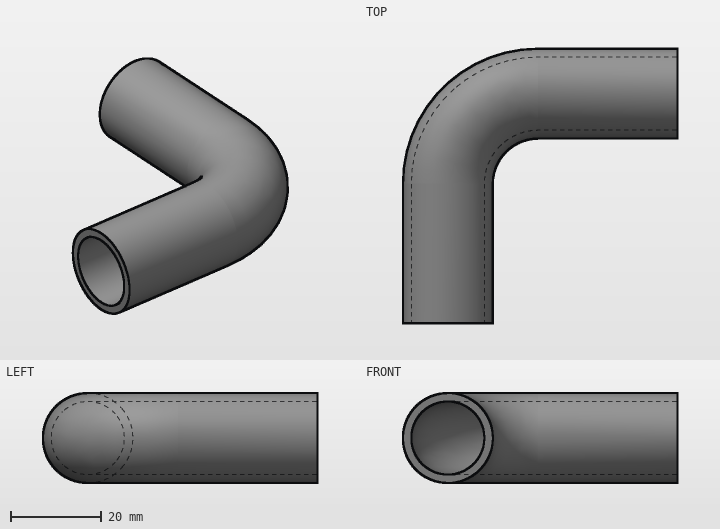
import cadquery as cq
import math

overall_length = 61.0
outer_diameter = 20.0
bore_diameter = 16.2
bend_radius = outer_diameter

leg_length = overall_length - bend_radius - outer_diameter / 2

bend_middle = bend_radius * math.sin(math.radians(45))
centreline = (
    cq.Workplane("XY")
    .moveTo(-bend_radius, -leg_length)
    .lineTo(-bend_radius, 0)
    .threePointArc((-bend_middle, bend_middle), (0, bend_radius))
    .lineTo(leg_length, bend_radius)
)

pipe_section = (
    cq.Workplane("XZ", origin=(-bend_radius, -leg_length, 0))
    .circle(outer_diameter / 2)
    .circle(bore_diameter / 2)
)

result = pipe_section.sweep(centreline)